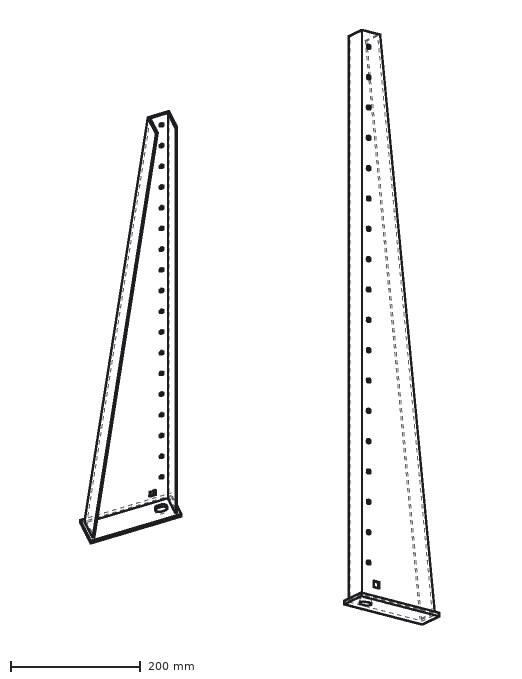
import cadquery as cq

plate_width = 45.0
plate_depth = 150.0
total_height = 936.0

plate_thickness = 6.0
rim = 5.0

wall = 3.0
column_width = plate_width - 2 * rim
top_depth = column_width
back_y = plate_depth / 2 - rim
foot_front_y = -back_y
top_front_y = back_y - top_depth

row_hole_count = 18
row_length = 850.0
row_hole_pitch = row_length / (row_hole_count - 1)
row_hole_diameter = 7.0
row_hole_inset = 13.0
top_hole_drop = row_hole_pitch / 2

foot_hole_side = 10.0
foot_hole_inset = 28.0
foot_hole_height = 28.0

slot_width = 13.0
slot_length = 20.0
slot_inset = 20.0


def base_plate():
    return cq.Workplane("XY").box(plate_width, plate_depth, plate_thickness, centered=(True, True, False))


def tapered_prism(back, foot_front, top_front, x_start, x_end):
    """Solid with a vertical back and a sloping front, standing on the base plate."""
    outline = [
        (back, plate_thickness),
        (back, total_height),
        (top_front, total_height),
        (foot_front, plate_thickness),
    ]
    return cq.Workplane("YZ", origin=(x_start, 0, 0)).polyline(outline).close().extrude(x_end - x_start)


def column():
    """Channel with its web on -X, flanges front and back, open on +X."""
    half_width = column_width / 2
    body = tapered_prism(back_y, foot_front_y, top_front_y, -half_width, half_width)
    hollow = tapered_prism(
        back_y - wall, foot_front_y + wall, top_front_y + wall, wall - half_width, half_width
    )
    return body.cut(hollow)


def web_hole_plane(inset, height):
    """Plane on the outside of the web, placed from the back edge and the underside of the plate."""
    web_plane = cq.Workplane("YZ", origin=(-column_width / 2, 0, 0))
    return web_plane.center(back_y - inset, height)


def row_hole(height):
    return web_hole_plane(row_hole_inset, height).circle(row_hole_diameter / 2).extrude(wall)


def foot_hole():
    return web_hole_plane(foot_hole_inset, foot_hole_height).rect(foot_hole_side, foot_hole_side).extrude(wall)


def plate_slot():
    slot_plane = cq.Workplane("XY").center(0, back_y - slot_inset)
    return slot_plane.slot2D(slot_length, slot_width, 90).extrude(plate_thickness)


result = base_plate().union(column())
for i in range(row_hole_count):
    hole_height = total_height - top_hole_drop - i * row_hole_pitch
    result = result.cut(row_hole(hole_height))
result = result.cut(foot_hole())
result = result.cut(plate_slot())